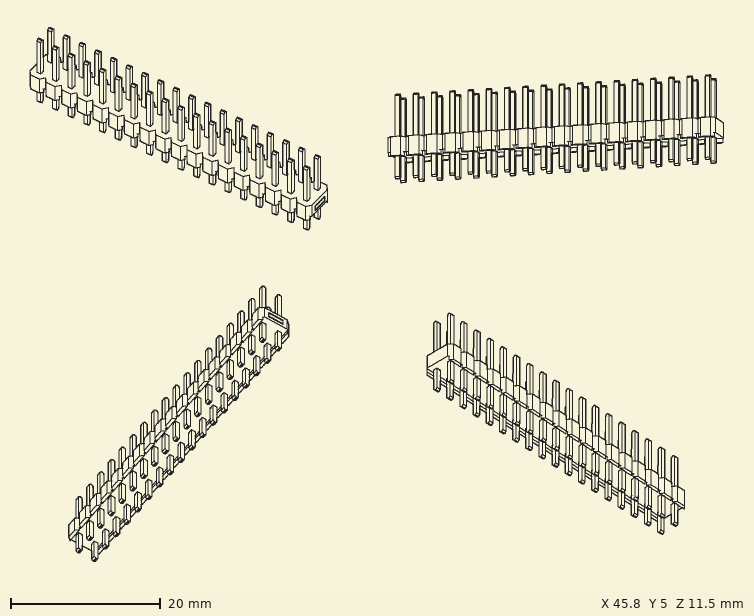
import cadquery as cq

total_length = 45.75
body_width = 5.0
total_height = 11.52

pins_per_row = 18
pin_span = 43.15
pitch = pin_span / (pins_per_row - 1)

nub_length = 0.1
body_length = total_length - nub_length
body_height = 2.6
pin_below_body = 2.93
corner_run = 0.55
corner_depth = 0.65
notch_half_width = 0.55
notch_depth = 0.7

channel_width = 4.0
channel_depth = 0.55

nub_width = 2.3
nub_height = 0.8
nub_above_channel = 0.55

pin_size = 0.65
tip_height = 0.25
tip_flat = 0.15

body_start = -total_length / 2
body_end = body_start + body_length
body_center = (body_start + body_end) / 2
body_bottom = pin_below_body - total_height / 2
channel_top = body_bottom + channel_depth

pin_xs = [body_center - pin_span / 2 + i * pitch for i in range(pins_per_row)]
pin_ys = [-pitch / 2, pitch / 2]


def long_side(y_sign):
    """Points of one notched long side, running from -X to +X."""
    outer_y = y_sign * body_width / 2
    corner_y = y_sign * (body_width / 2 - corner_depth)
    notch_y = y_sign * (body_width / 2 - notch_depth)
    points = [(body_start, corner_y), (body_start + corner_run, outer_y)]
    for pin_x in pin_xs[:-1]:
        notch_x = pin_x + pitch / 2
        points.append((notch_x - notch_half_width, outer_y))
        points.append((notch_x, notch_y))
        points.append((notch_x + notch_half_width, outer_y))
    points += [(body_end - corner_run, outer_y), (body_end, corner_y)]
    return points


def make_body():
    """Notched bar with a full-length channel underneath."""
    outline = long_side(-1) + long_side(1)[::-1]
    bar = cq.Workplane("XY").polyline(outline).close().extrude(body_height)
    channel = cq.Workplane("XY").rect(2 * total_length, channel_width).extrude(channel_depth)
    return bar.cut(channel).translate((0, 0, body_bottom))


def make_nub():
    """Low pad on the +X end face, sunk into the body so that they join."""
    nub = cq.Workplane("XY").box(2 * nub_length, nub_width, nub_height)
    return nub.translate((body_end, 0, channel_top + nub_above_channel + nub_height / 2))


def make_pin():
    """Square pin with both tips tapered on the Y sides to a narrow flat."""
    half = pin_size / 2
    tip = total_height / 2
    shoulder = tip - tip_height
    half_flat = tip_flat / 2
    profile = [(-half, -shoulder), (-half_flat, -tip), (half_flat, -tip), (half, -shoulder)]
    profile += [(half, shoulder), (half_flat, tip), (-half_flat, tip), (-half, shoulder)]
    return cq.Workplane("YZ").polyline(profile).close().extrude(half, both=True)


pin = make_pin()
result = make_body().union(make_nub())
for pin_x in pin_xs:
    for pin_y in pin_ys:
        result = result.union(pin.translate((pin_x, pin_y, 0)))